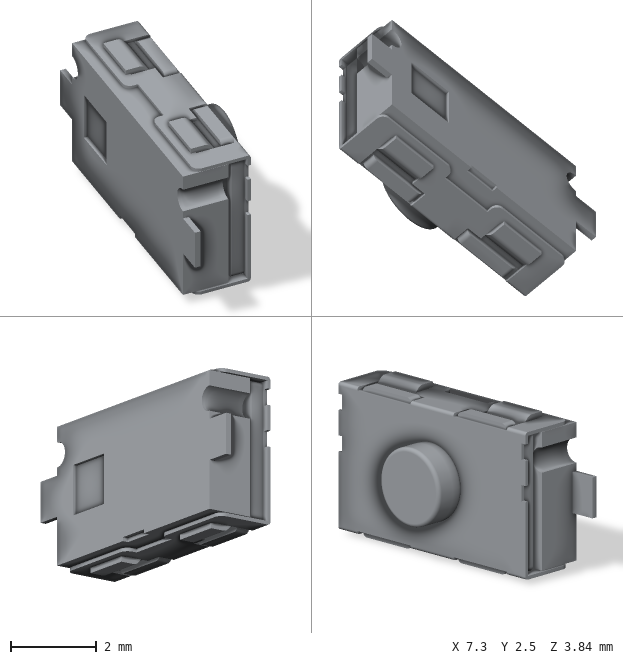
import cadquery as cq
import math


BASE_LENGTH = 6.0
BASE_WIDTH = 3.36
BASE_HEIGHT = 1.17
GROOVE_RADIUS = 0.31
GROOVE_Z = 1.0

CORE_LENGTH = 5.71
NECK_LENGTH = 5.255
NECK_TOP = 1.315
CORNER_RADIUS = 0.13

TERMINAL_SPAN = 7.3
TERMINAL_WIDTH = 0.99
TERMINAL_THICKNESS = 0.145

MARK_SIZE = 1.22
MARK_X = -1.76
MARK_DEPTH = 0.1
EDGE_NOTCH_LENGTH = 0.825
EDGE_NOTCH_WIDTH = 0.095
EDGE_NOTCH_DEPTH = 0.145

COVER_LENGTH = 6.045
COVER_WIDTH = 3.58
COVER_TOP = 1.74
SHEET = 0.09
BEND_RADIUS = 0.08
FLANGE_BOTTOM = 0.285
FLANGE_CORNER_RADIUS = 0.2
RELIEF_BOTTOM = 0.6
RELIEF_LENGTH = 1.39
END_NOTCH_DEPTH = 0.125
END_NOTCH_WIDTH = 0.395
END_NOTCH_CENTRES = (1.31, 0.3)

WINDOW_INNER_X = 0.69
WINDOW_STEP_X = 1.12
WINDOW_OUTER_X = 2.41
WINDOW_STEP_Y = 1.24
WINDOW_BOTTOM = 0.63

RIB_CLEARANCE_INNER = 0.06
RIB_CLEARANCE_OUTER = 0.1

LATCH_CLEARANCE = 0.04
LATCH_SPAN = 3.84
LATCH_BOTTOM = 0.505
LATCH_FLAT_TOP = 0.855
LATCH_CREST_RADIUS = 0.18

BUTTON_RADIUS = 0.955
BUTTON_TOP = 2.5
BUTTON_BOTTOM = 1.71
BUTTON_EDGE_RADIUS = 0.095

PLATE_BOTTOM = COVER_TOP - SHEET
FLANGE_INNER_Z = COVER_WIDTH / 2 - SHEET
SIDES = (-1, 1)


def block(x_range, y_range, z_range):
    """Box between two limits on each axis."""
    (x0, x1), (y0, y1), (z0, z1) = x_range, y_range, z_range
    return cq.Workplane("XY").box(x1 - x0, y1 - y0, z1 - z0, centered=False).translate((x0, y0, z0))


def centred_block(length, y_range, width):
    """Box centred on X and Z."""
    return block((-length / 2, length / 2), y_range, (-width / 2, width / 2))


def four_ways(quarter):
    """The shape at +X +Z together with its mirror images across X and Z."""
    half = quarter.union(quarter.mirror("YZ"))
    return half.union(half.mirror("XY"))


def make_base():
    base = centred_block(BASE_LENGTH, (0, BASE_HEIGHT), BASE_WIDTH)
    groove = cq.Workplane("XZ").circle(GROOVE_RADIUS).extrude(-BASE_HEIGHT)
    for side in SIDES:
        base = base.cut(groove.translate((side * BASE_LENGTH / 2, 0, GROOVE_Z)))

    mark = centred_block(MARK_SIZE, (0, MARK_DEPTH), MARK_SIZE).translate((MARK_X, 0, 0))
    edge_notch = block(
        (-EDGE_NOTCH_LENGTH / 2, EDGE_NOTCH_LENGTH / 2),
        (0, EDGE_NOTCH_DEPTH),
        (-BASE_WIDTH / 2, -BASE_WIDTH / 2 + EDGE_NOTCH_WIDTH),
    )
    base = base.cut(mark).cut(edge_notch)

    terminals = centred_block(TERMINAL_SPAN, (0, TERMINAL_THICKNESS), TERMINAL_WIDTH)
    return base.union(terminals.cut(mark))


def make_core():
    neck = centred_block(NECK_LENGTH, (BASE_HEIGHT, NECK_TOP), BASE_WIDTH)
    upper = centred_block(CORE_LENGTH, (NECK_TOP, PLATE_BOTTOM), 2 * FLANGE_INNER_Z)
    return neck.union(upper.edges("|Y").fillet(CORNER_RADIUS))


def make_flange():
    """Flange plate on the +Z side, shaped with two rounded feet."""
    end = COVER_LENGTH / 2
    relief = RELIEF_LENGTH / 2
    flange = block((-end, end), (FLANGE_BOTTOM, COVER_TOP), (FLANGE_INNER_Z, COVER_WIDTH / 2))
    flange = flange.cut(
        block((-relief, relief), (FLANGE_BOTTOM, RELIEF_BOTTOM), (FLANGE_INNER_Z, COVER_WIDTH / 2))
    )
    return flange.faces("<Y").edges("|Z").fillet(FLANGE_CORNER_RADIUS)


def make_window():
    """L-shaped cutter through the +Z flange on the +X side."""
    outline = [
        (WINDOW_INNER_X, COVER_TOP),
        (WINDOW_OUTER_X, COVER_TOP),
        (WINDOW_OUTER_X, WINDOW_BOTTOM),
        (WINDOW_STEP_X, WINDOW_BOTTOM),
        (WINDOW_STEP_X, WINDOW_STEP_Y),
        (WINDOW_INNER_X, WINDOW_STEP_Y),
    ]
    cutter = cq.Workplane("XY").polyline(outline).close().extrude(SHEET)
    return cutter.translate((0, 0, FLANGE_INNER_Z))


def make_cover():
    cover = centred_block(COVER_LENGTH, (PLATE_BOTTOM, COVER_TOP), COVER_WIDTH)
    flange = make_flange()
    cover = cover.union(flange).union(flange.mirror("XY"))
    cover = cover.faces(">Y").edges("|X").fillet(BEND_RADIUS)

    notches = cq.Workplane("XY")
    for centre in END_NOTCH_CENTRES:
        for side in SIDES:
            notch = block(
                (-END_NOTCH_DEPTH, END_NOTCH_DEPTH),
                (PLATE_BOTTOM, COVER_TOP),
                (centre - END_NOTCH_WIDTH / 2, centre + END_NOTCH_WIDTH / 2),
            )
            notches = notches.union(notch.translate((side * COVER_LENGTH / 2, 0, 0)))
    return cover.cut(notches).cut(four_ways(make_window()))


def make_rib():
    rib = block(
        (WINDOW_INNER_X + RIB_CLEARANCE_INNER, WINDOW_OUTER_X - RIB_CLEARANCE_OUTER),
        (NECK_TOP, PLATE_BOTTOM),
        (0, FLANGE_INNER_Z + CORNER_RADIUS),
    )
    return rib.faces(">Z").edges("|Y").fillet(CORNER_RADIUS)


def make_latch():
    """Latch with a 45 degree ramp that rolls over into a flat crest."""
    crest_z = LATCH_SPAN / 2
    root_z = BASE_WIDTH / 2
    roll = LATCH_CREST_RADIUS
    ramp_y = LATCH_FLAT_TOP + roll * math.sin(math.pi / 4)
    ramp_z = crest_z - roll * (1 - math.cos(math.pi / 4))
    middle_y = LATCH_FLAT_TOP + roll * math.sin(math.pi / 8)
    middle_z = crest_z - roll * (1 - math.cos(math.pi / 8))
    length = WINDOW_OUTER_X - WINDOW_STEP_X - 2 * LATCH_CLEARANCE
    latch = (
        cq.Workplane("YZ")
        .moveTo(LATCH_BOTTOM, root_z)
        .lineTo(LATCH_BOTTOM, crest_z)
        .lineTo(LATCH_FLAT_TOP, crest_z)
        .threePointArc((middle_y, middle_z), (ramp_y, ramp_z))
        .lineTo(ramp_y + ramp_z - root_z, root_z)
        .close()
        .extrude(length)
    )
    return latch.translate((WINDOW_STEP_X + LATCH_CLEARANCE, 0, 0))


def make_button():
    button = cq.Workplane("XZ").circle(BUTTON_RADIUS).extrude(BUTTON_BOTTOM - BUTTON_TOP)
    return button.edges().fillet(BUTTON_EDGE_RADIUS).translate((0, BUTTON_BOTTOM, 0))


result = (
    make_base()
    .union(make_core())
    .union(make_cover())
    .union(four_ways(make_rib()))
    .union(four_ways(make_latch()))
    .union(make_button())
)